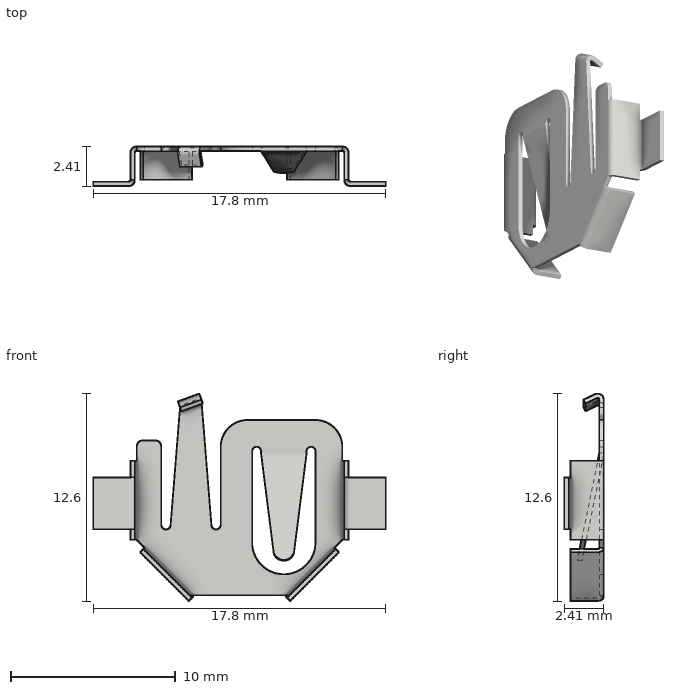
import cadquery as cq
import math

thickness = 0.28
inner_bend_radius = 0.10
outer_bend_radius = inner_bend_radius + thickness

overall_width = 17.78
overall_depth = 2.41
wall_depth = overall_depth - outer_bend_radius

plate_half_width = 6.25
shoulder_height = 3.36
chamfer_foot_x = plate_half_width - shoulder_height
frame_top = 10.65
frame_left = -1.15
frame_corner_radius = 1.65
arm_right = -4.74
arm_top = 9.41
arm_corner_radius = 0.40

slot_width = 0.55
slot_radius = slot_width / 2
slot_bottom = 4.0
slot_center_z = slot_bottom + slot_radius
finger_left = arm_right + slot_width
finger_right = frame_left - slot_width
finger_center = (finger_left + finger_right) / 2
finger_base_half_width = (finger_right - finger_left) / 2
finger_taper = 0.08
finger_bend_z = 11.66

hook_tilt = 20.0
hook_bend_angle = 117.0
hook_depth = 1.24

window_center = 2.69
window_width = 3.83
window_bottom = 1.28
window_radius = window_width / 2
window_top = 9.01
tongue_root_half_width = 1.39
tongue_root_z = 8.68
tongue_tip_radius = 0.64
tongue_tip_z = 2.15
tongue_angle = 11.6
tongue_miter = thickness * math.tan(math.radians(tongue_angle / 2))
relief_width = window_radius - tongue_root_half_width
relief_radius = relief_width / 2

wall_bend_angle = 90.0
wall_height = 4.82
wall_center_z = shoulder_height + wall_height / 2
foot_height = 3.16
foot_center_z = 5.58

tab_length = 4.19
tab_center_x = 4.29
tab_center_z = tab_center_x - chamfer_foot_x

right_wall_direction = 0
right_tab_direction = -45
left_wall_direction = 180
left_tab_direction = 225


def sheet_plane(x, z, outward_angle):
    """Plane across a plate edge: local x points outward, local y is the depth from the back face."""
    angle = math.radians(outward_angle)
    outward = cq.Vector(math.cos(angle), 0, math.sin(angle))
    along_edge = outward.cross(cq.Vector(0, -1, 0))
    return cq.Plane(origin=(x, 0, z), xDir=outward.toTuple(), normal=along_edge.toTuple())


def bent_flange(plane, width, bend_angle, depth):
    """Flange bent out of the plate edge until its outer face reaches the given depth."""
    angle = math.radians(bend_angle)
    bend_depth = outer_bend_radius * (1 - math.cos(angle))
    straight = (depth - bend_depth) / math.sin(angle)

    def on_arc(radius, turn):
        return (radius * math.sin(turn), outer_bend_radius - radius * math.cos(turn))

    def flange_end(radius):
        x, y = on_arc(radius, angle)
        return (x + straight * math.cos(angle), y + straight * math.sin(angle))

    return (
        cq.Workplane(plane)
        .moveTo(0, 0)
        .threePointArc(on_arc(outer_bend_radius, angle / 2), on_arc(outer_bend_radius, angle))
        .lineTo(*flange_end(outer_bend_radius))
        .lineTo(*flange_end(inner_bend_radius))
        .lineTo(*on_arc(inner_bend_radius, angle))
        .threePointArc(on_arc(inner_bend_radius, angle / 2), (0, thickness))
        .close()
        .extrude(width / 2, both=True)
    )


def solder_foot(plane):
    """Foot bent outward again from the end of a side wall."""
    bend_center_x = outer_bend_radius + inner_bend_radius
    foot_end = overall_width / 2 - plate_half_width

    def on_arc(radius):
        reach = radius * math.sqrt(0.5)
        return (bend_center_x - reach, wall_depth + reach)

    return (
        cq.Workplane(plane)
        .moveTo(inner_bend_radius, wall_depth)
        .threePointArc(on_arc(outer_bend_radius), (bend_center_x, overall_depth))
        .lineTo(foot_end, overall_depth)
        .lineTo(foot_end, overall_depth - thickness)
        .lineTo(bend_center_x, overall_depth - thickness)
        .threePointArc(on_arc(inner_bend_radius), (outer_bend_radius, wall_depth))
        .close()
        .extrude(foot_height / 2, both=True)
    )


def finger_tip_offset(side):
    """Signed distance along the tilted bend line from the finger axis to one finger side."""
    tilt = math.radians(hook_tilt)
    half_width = finger_base_half_width - finger_taper * (finger_bend_z - slot_center_z)
    return side * half_width / (math.cos(tilt) + side * finger_taper * math.sin(tilt))


def bend_line_point(offset):
    """X and Z of a point on the tilted bend line, at a signed distance from the finger axis."""
    tilt = math.radians(hook_tilt)
    return (finger_center + offset * math.cos(tilt), finger_bend_z + offset * math.sin(tilt))


def make_plate():
    """Flat plate with the finger slots and the tongue window."""
    outline = (
        cq.Workplane("XZ")
        .moveTo(-chamfer_foot_x, 0)
        .lineTo(chamfer_foot_x, 0)
        .lineTo(plate_half_width, shoulder_height)
        .lineTo(plate_half_width, frame_top - frame_corner_radius)
        .radiusArc((plate_half_width - frame_corner_radius, frame_top), -frame_corner_radius)
        .lineTo(frame_left + frame_corner_radius, frame_top)
        .radiusArc((frame_left, frame_top - frame_corner_radius), -frame_corner_radius)
        .lineTo(frame_left, slot_center_z)
        .threePointArc((frame_left - slot_radius, slot_bottom), (finger_right, slot_center_z))
        .lineTo(*bend_line_point(finger_tip_offset(1)))
        .lineTo(*bend_line_point(finger_tip_offset(-1)))
        .lineTo(finger_left, slot_center_z)
        .threePointArc((finger_left - slot_radius, slot_bottom), (arm_right, slot_center_z))
        .lineTo(arm_right, arm_top - arm_corner_radius)
        .radiusArc((arm_right - arm_corner_radius, arm_top), -arm_corner_radius)
        .lineTo(-plate_half_width + arm_corner_radius, arm_top)
        .radiusArc((-plate_half_width, arm_top - arm_corner_radius), -arm_corner_radius)
        .lineTo(-plate_half_width, shoulder_height)
        .close()
    )
    return outline.extrude(thickness).cut(make_window())


def make_window():
    """Window around the tongue, with a round-ended relief on each side of the tongue root."""
    left = window_center - window_radius
    right = window_center + window_radius
    root_left = left + relief_width
    root_right = right - relief_width
    root_z = tongue_root_z - tongue_miter
    relief_z = window_top - relief_radius
    bottom_center_z = window_bottom + window_radius
    return (
        cq.Workplane("XZ")
        .moveTo(left, bottom_center_z)
        .lineTo(left, relief_z)
        .threePointArc((left + relief_radius, window_top), (root_left, relief_z))
        .lineTo(root_left, root_z)
        .lineTo(root_right, root_z)
        .lineTo(root_right, relief_z)
        .threePointArc((right - relief_radius, window_top), (right, relief_z))
        .lineTo(right, bottom_center_z)
        .threePointArc((window_center, window_bottom), (left, bottom_center_z))
        .close()
        .extrude(thickness)
    )


def make_tongue():
    """Tapered, round-tipped tongue hinged forward about the front edge of its root."""
    length = (tongue_root_z - tongue_tip_z) / math.cos(math.radians(tongue_angle))
    tip_center_z = tongue_root_z - length + tongue_tip_radius
    root_left = window_center - tongue_root_half_width
    root_right = window_center + tongue_root_half_width
    tip_left = window_center - tongue_tip_radius
    tip_right = window_center + tongue_tip_radius
    hinge_start = (root_left, -thickness, tongue_root_z)
    hinge_end = (root_right, -thickness, tongue_root_z)
    return (
        cq.Workplane("XZ")
        .moveTo(root_left, tongue_root_z + tongue_miter)
        .lineTo(root_left, tongue_root_z)
        .lineTo(tip_left, tip_center_z)
        .threePointArc((window_center, tongue_root_z - length), (tip_right, tip_center_z))
        .lineTo(root_right, tongue_root_z)
        .lineTo(root_right, tongue_root_z + tongue_miter)
        .close()
        .extrude(thickness)
        .rotate(hinge_start, hinge_end, -tongue_angle)
    )


def make_hook():
    """Hook bent forward and down from the finger tip."""
    left = finger_tip_offset(-1)
    right = finger_tip_offset(1)
    x, z = bend_line_point((left + right) / 2)
    return bent_flange(sheet_plane(x, z, 90 + hook_tilt), right - left, hook_bend_angle, hook_depth)


def make_side(side, wall_direction, tab_direction):
    """Side wall, solder foot and lower tab on one side of the plate."""
    edge_x = side * plate_half_width
    wall_plane = sheet_plane(edge_x, wall_center_z, wall_direction)
    wall = bent_flange(wall_plane, wall_height, wall_bend_angle, wall_depth)
    foot = solder_foot(sheet_plane(edge_x, foot_center_z, wall_direction))
    tab_plane = sheet_plane(side * tab_center_x, tab_center_z, tab_direction)
    tab = bent_flange(tab_plane, tab_length, wall_bend_angle, wall_depth)
    return wall.union(foot).union(tab)


right_side = make_side(1, right_wall_direction, right_tab_direction)
left_side = make_side(-1, left_wall_direction, left_tab_direction)
result = make_plate().union(make_tongue()).union(make_hook()).union(right_side).union(left_side)